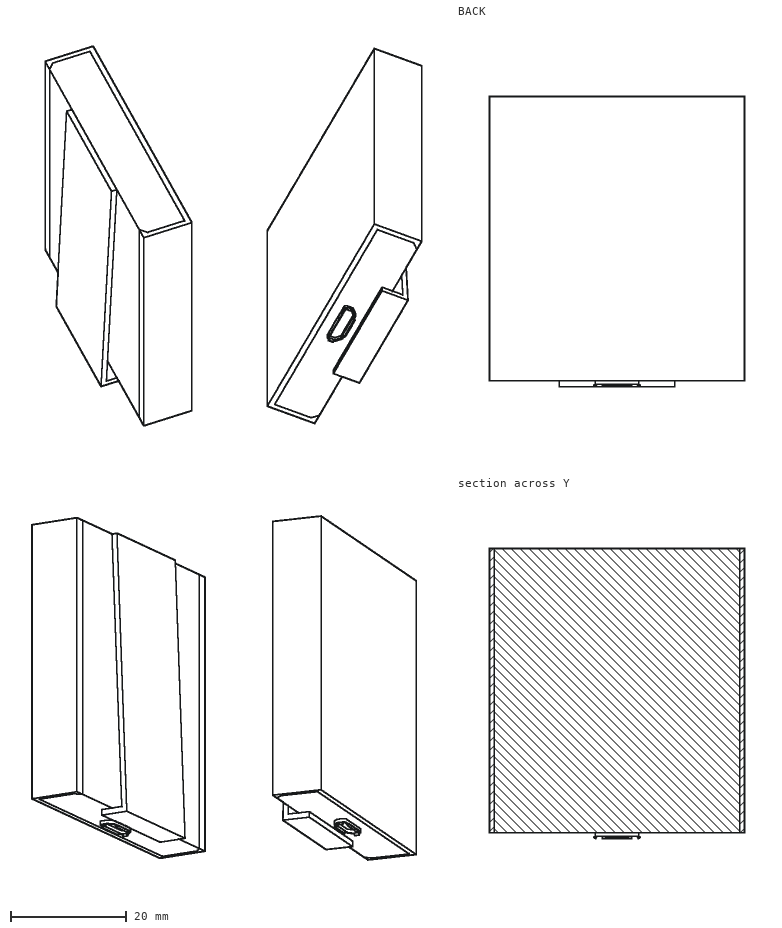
import cadquery as cq

total_height = 50.15
total_depth = 12.0

frame_width = 44.0
frame_depth = 9.0
frame_height = 49.15
side_wall = 0.9
back_wall = 1.0
lip_reach = 2.0
lip_slope = lip_reach - side_wall
frame_bottom = total_height - frame_height

cavity_half_width = frame_width / 2 - side_wall
opening_half_width = frame_width / 2 - lip_reach
inner_back = frame_depth - back_wall

clip_width = 20.0
clip_front = frame_depth - total_depth
leaf_thickness = 1.0
foot_depth = 4.95
foot_thickness = frame_bottom

shell_width = 7.5
shell_narrow_width = 5.5
shell_depth = 2.5
shell_back = 6.15
shell_side_depth = 1.55
shell_corner_radius = 0.4
shell_wall = 0.3
flare_height = 0.4
flare_reach = 0.25
back_flare_width = 5.0
front_flare_width = 4.0
side_flare_width = 0.8
side_flare_y = 5.3


def make_frame():
    half = frame_width / 2
    outline = [
        (-half, 0),
        (-half, frame_depth),
        (half, frame_depth),
        (half, 0),
        (half - lip_reach, 0),
        (cavity_half_width, lip_slope),
        (cavity_half_width, inner_back),
        (-cavity_half_width, inner_back),
        (-cavity_half_width, lip_slope),
        (lip_reach - half, 0),
    ]
    return cq.Workplane("XY").workplane(offset=frame_bottom).polyline(outline).close().extrude(frame_height)


def make_block():
    outline = [
        (-opening_half_width, 0),
        (opening_half_width, 0),
        (cavity_half_width, lip_slope),
        (cavity_half_width, inner_back),
        (-cavity_half_width, inner_back),
        (-cavity_half_width, lip_slope),
    ]
    return cq.Workplane("XY").workplane(offset=frame_bottom).polyline(outline).close().extrude(frame_height)


def make_clip():
    """Side profile in Y and Z; the top end of the leaf is square to its leaning front face."""
    lean = (-leaf_thickness - clip_front) / total_height
    outline = [
        (0, total_height - lean * leaf_thickness),
        (-leaf_thickness, total_height),
        (clip_front, 0),
        (clip_front + foot_depth, 0),
        (clip_front + foot_depth, foot_thickness),
        (clip_front + leaf_thickness, foot_thickness),
    ]
    return cq.Workplane("YZ").polyline(outline).close().extrude(clip_width / 2, both=True)


def make_flare(width, angle, x, y):
    """Tab that leans outward from the wall at (x, y), facing the given angle about Z."""
    outline = [
        (-shell_wall, flare_height),
        (0, flare_height),
        (flare_reach, shell_wall),
        (flare_reach - shell_wall, 0),
    ]
    tab = cq.Workplane("XZ").polyline(outline).close().extrude(width / 2, both=True)
    return tab.rotate((0, 0, 0), (0, 0, 1), angle).translate((x, y, 0))


def make_shell():
    """Hollow tapered tube with one flared tab on each of its four walls."""
    half_wide = shell_width / 2
    half_narrow = shell_narrow_width / 2
    shell_front = shell_back - shell_depth
    shoulder = shell_back - shell_side_depth
    outline = [
        (-half_wide, shell_back),
        (half_wide, shell_back),
        (half_wide, shoulder),
        (half_narrow, shell_front),
        (-half_narrow, shell_front),
        (-half_wide, shoulder),
    ]
    tube = (
        cq.Workplane("XY").workplane(offset=flare_height)
        .polyline(outline).close()
        .extrude(frame_bottom - flare_height)
        .edges("|Z").fillet(shell_corner_radius)
        .faces("<Z or >Z").shell(-shell_wall)
    )
    flares = [
        (back_flare_width, 90, 0, shell_back),
        (front_flare_width, -90, 0, shell_front),
        (side_flare_width, 0, half_wide, side_flare_y),
        (side_flare_width, 180, -half_wide, side_flare_y),
    ]
    for width, angle, x, y in flares:
        tube = tube.union(make_flare(width, angle, x, y))
    return tube


frame = make_frame()
block = make_block()
clip = make_clip()
shell = make_shell()

result = cq.Compound.makeCompound([frame.val(), block.val(), clip.val(), shell.val()])